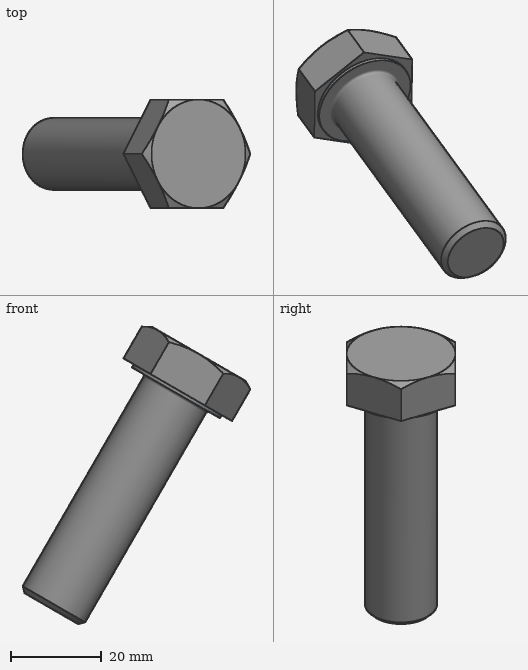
import cadquery as cq
import math

TILT = 30.0
SHANK_DIAMETER = 16.0
SHANK_LENGTH = 55.0
TIP_CHAMFER = 1.1
ACROSS_FLATS = 24.0
HEAD_HEIGHT = 10.0
WASHER_DIAMETER = 22.5
WASHER_THICKNESS = 0.8
NECK_FILLET = 0.6
CROWN_ANGLE = 30.0

across_corners = ACROSS_FLATS / math.cos(math.radians(30))
shank_radius = SHANK_DIAMETER / 2


def make_head():
    """Hexagonal prism whose top corners are trimmed by a cone."""
    prism_height = HEAD_HEIGHT - WASHER_THICKNESS
    prism = (
        cq.Workplane("XY", origin=(0, 0, WASHER_THICKNESS))
        .polygon(6, across_corners)
        .extrude(prism_height)
    )
    crown_radius = ACROSS_FLATS / 2
    outer_radius = across_corners
    crown_drop = (outer_radius - crown_radius) * math.tan(math.radians(CROWN_ANGLE))
    trim = (
        cq.Workplane("XZ")
        .moveTo(0, 0)
        .lineTo(outer_radius, 0)
        .lineTo(outer_radius, HEAD_HEIGHT - crown_drop)
        .lineTo(crown_radius, HEAD_HEIGHT)
        .lineTo(0, HEAD_HEIGHT)
        .close()
        .revolve(360, (0, 0, 0), (0, 1, 0))
    )
    return prism.intersect(trim)


def make_shank():
    """Washer face, neck fillet, shank and chamfered tip in one revolved profile."""
    return (
        cq.Workplane("XZ")
        .moveTo(0, WASHER_THICKNESS)
        .lineTo(WASHER_DIAMETER / 2, WASHER_THICKNESS)
        .lineTo(WASHER_DIAMETER / 2, 0)
        .lineTo(shank_radius + NECK_FILLET, 0)
        .radiusArc((shank_radius, -NECK_FILLET), -NECK_FILLET)
        .lineTo(shank_radius, TIP_CHAMFER - SHANK_LENGTH)
        .lineTo(shank_radius - TIP_CHAMFER, -SHANK_LENGTH)
        .lineTo(0, -SHANK_LENGTH)
        .close()
        .revolve(360, (0, 0, 0), (0, 1, 0))
    )


bolt = make_head().union(make_shank())
result = bolt.rotate((0, 0, 0), (0, 1, 0), TILT)